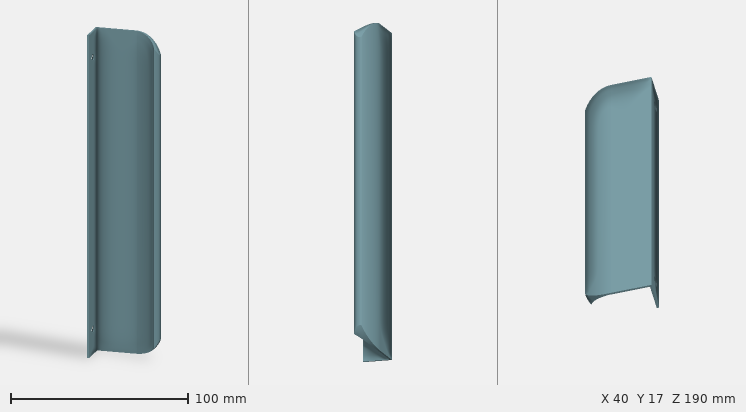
import cadquery as cq

LENGTH = 190.0
FLANGE_DEPTH = 17.0
WALL = 1.1

OUTER_CURVE_START = (23.5, 0)
OUTER_CURVE_MIDDLE = (32.3, -1.5)
OUTER_CURVE_END = (39.9, -5.5)
INNER_CURVE_START = (24.7, -WALL)
INNER_CURVE_MIDDLE = (32.1, -4.0)
LIP_TIP = (37.6, -10.8)
NOSE_MIDDLE = (39.7, -8.4)

CORNER_START = OUTER_CURVE_START[0]
CORNER_RADIUS = 17.7

HOLE_DIAMETER = 4.0
COUNTERSINK_DIAMETER = 5.9
COUNTERSINK_ANGLE = 90
HOLE_SPACING = 160.0
HOLE_Y = -9.9


def make_profile():
    """Extrude the L-shaped section with its thickened, curved lip."""
    return (
        cq.Workplane("XY")
        .workplane(offset=-LENGTH / 2)
        .moveTo(0, -FLANGE_DEPTH)
        .lineTo(0, 0)
        .lineTo(*OUTER_CURVE_START)
        .threePointArc(OUTER_CURVE_MIDDLE, OUTER_CURVE_END)
        .threePointArc(NOSE_MIDDLE, LIP_TIP)
        .threePointArc(INNER_CURVE_MIDDLE, INNER_CURVE_START)
        .lineTo(WALL, -WALL)
        .lineTo(WALL, -FLANGE_DEPTH)
        .close()
        .extrude(LENGTH)
    )


def make_corner_envelope():
    """Make a plate outline whose two lip-side corners are rounded."""
    return (
        cq.Workplane("XY")
        .box(CORNER_START + CORNER_RADIUS, FLANGE_DEPTH, LENGTH, centered=(False, False, True))
        .translate((0, -FLANGE_DEPTH, 0))
        .edges("|Y and >X")
        .fillet(CORNER_RADIUS)
    )


def drill_flange(body):
    """Drill both screw holes, countersunk from the outer flange face."""
    hole_points = [(HOLE_Y, side * HOLE_SPACING / 2) for side in (-1, 1)]
    flange_face = cq.Plane(origin=(0, 0, 0), xDir=(0, -1, 0), normal=(-1, 0, 0))
    return (
        body.copyWorkplane(cq.Workplane(flange_face))
        .pushPoints([(-y, z) for y, z in hole_points])
        .cskHole(HOLE_DIAMETER, COUNTERSINK_DIAMETER, COUNTERSINK_ANGLE, depth=2 * WALL)
    )


result = drill_flange(make_profile().intersect(make_corner_envelope()))